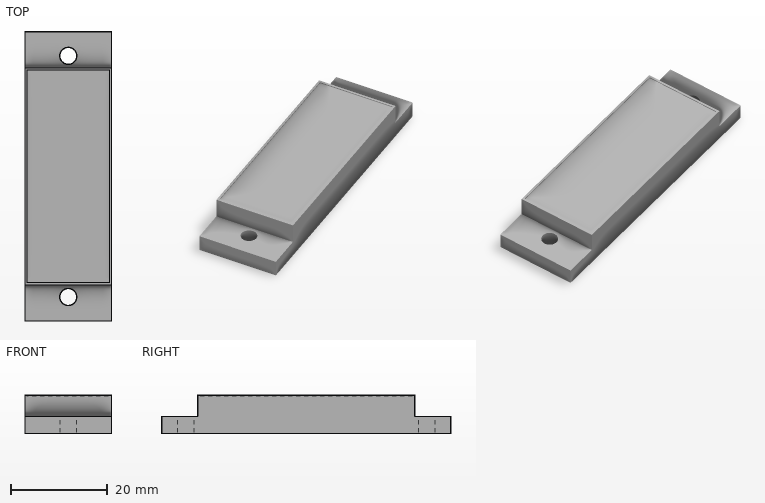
import cadquery as cq

length = 60.0
width = 18.0
height = 8.0
flange_thickness = 3.6

body_length = 45.0
rim_width = 0.5
recess_depth = 0.2

hole_diameter = 3.5
hole_spacing = 50.0

base = cq.Workplane("XY").box(width, length, flange_thickness, centered=(True, True, False))

body = cq.Workplane("XY").box(width, body_length, height, centered=(True, True, False))

recess = (
    cq.Workplane("XY")
    .workplane(offset=height - recess_depth)
    .rect(width - 2 * rim_width, body_length - 2 * rim_width)
    .extrude(recess_depth)
)

holes = (
    cq.Workplane("XY")
    .pushPoints([(0, -hole_spacing / 2), (0, hole_spacing / 2)])
    .circle(hole_diameter / 2)
    .extrude(flange_thickness)
)

result = base.union(body).cut(recess).cut(holes)